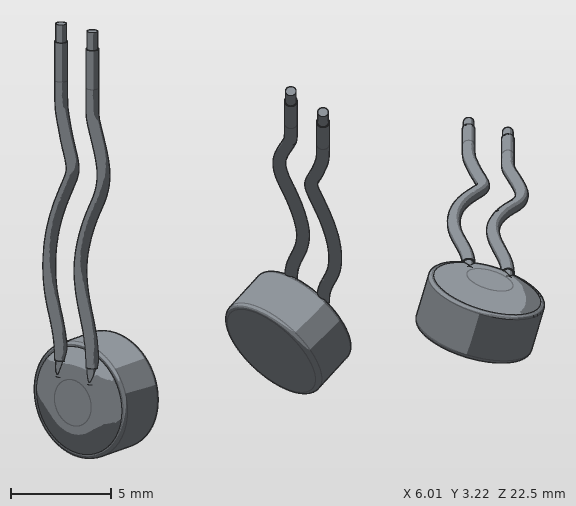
import cadquery as cq
import math

can_radius = 3.004
can_depth = 2.7
back_fillet = 0.22
front_fillet = 0.15
dome_radius = 2.77
dome_flat_radius = 1.2
dome_height = 0.5

overall_height = 22.5
overall_depth = 3.22
sleeve_radius = 0.326
core_radius = 0.27
lead_spacing = 2.02
lead_y = sleeve_radius - overall_depth
core_bottom_z = 1.12
sleeve_bottom_z = 1.98
bend_top_z = 16.54
sleeve_top_z = 18.56
core_top_z = overall_height - can_radius

left_bends = [
    (-1.22, 3.65), (-1.65, 5.26), (-1.78, 6.9), (-1.58, 8.53), (-1.04, 10.17),
    (-0.47, 11.38), (-0.27, 12.0), (-0.35, 12.62), (-0.6, 13.43), (-0.9, 14.65),
]
right_bends = [
    (0.85, 3.65), (0.45, 5.26), (0.25, 7.1), (0.5, 8.53), (1.12, 10.17),
    (1.5, 10.98), (1.73, 12.0), (1.5, 13.43), (1.12, 14.65),
]


def round_rod(x, bottom_z, top_z, radius):
    """Vertical rod on the lead plane."""
    return (
        cq.Workplane("XY", origin=(x, lead_y, bottom_z))
        .circle(radius)
        .extrude(top_z - bottom_z)
    )


def make_lead(x, bends):
    """One lead: bent sleeve, straight sleeve and the core showing at both ends."""
    points = [(x, sleeve_bottom_z), *bends, (x, bend_top_z)]
    centreline = cq.Workplane("XZ", origin=(0, lead_y, 0)).spline(
        points, tangents=[(0, 1), (0, 1)]
    )
    bent_sleeve = (
        cq.Workplane("XY", origin=(x, lead_y, sleeve_bottom_z))
        .circle(sleeve_radius)
        .sweep(centreline)
    )
    straight_sleeve = round_rod(x, bend_top_z, sleeve_top_z, sleeve_radius)
    lower_core = round_rod(x, core_bottom_z, sleeve_bottom_z, core_radius)
    upper_core = round_rod(x, sleeve_top_z, core_top_z, core_radius)
    return bent_sleeve.union(straight_sleeve).union(lower_core).union(upper_core)


def make_housing(lead_bodies):
    """Can with rounded rims and a domed front, recessed where the leads lie."""
    dome_run = dome_radius - dome_flat_radius
    arc_radius = (dome_run**2 + dome_height**2) / (2 * dome_height)
    half_angle = math.asin(dome_run / arc_radius) / 2
    dome_front_y = -can_depth - dome_height
    arc_middle = (
        dome_flat_radius + arc_radius * math.sin(half_angle),
        dome_front_y + arc_radius * (1 - math.cos(half_angle)),
    )
    can = (
        cq.Workplane("XZ")
        .circle(can_radius)
        .extrude(can_depth)
        .faces(">Y").edges().fillet(back_fillet)
        .faces("<Y").edges().fillet(front_fillet)
    )
    dome = (
        cq.Workplane("XY")
        .moveTo(0, -can_depth)
        .lineTo(0, dome_front_y)
        .lineTo(dome_flat_radius, dome_front_y)
        .threePointArc(arc_middle, (dome_radius, -can_depth))
        .close()
        .revolve(360, (0, 0, 0), (0, 1, 0))
    )
    housing = can.union(dome)
    for lead in lead_bodies:
        housing = housing.cut(lead)
    return housing


leads = []
for side, bends in ((-1, left_bends), (1, right_bends)):
    leads.append(make_lead(side * lead_spacing / 2, bends))
housing = make_housing(leads)

result = cq.Compound.makeCompound(
    [housing.solids().val(), *[lead.solids().val() for lead in leads]]
)